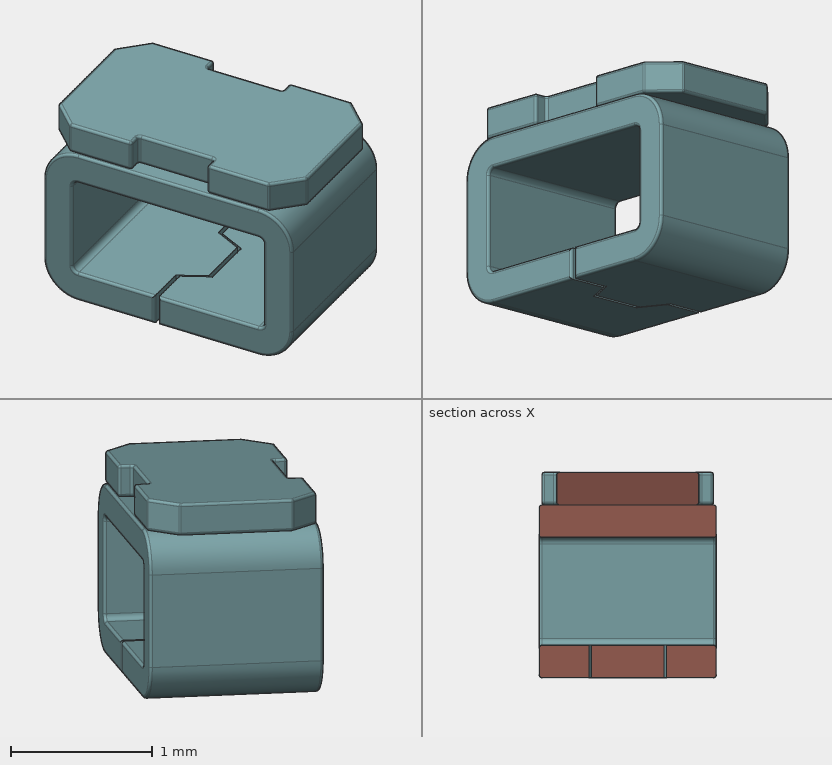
import cadquery as cq

length = 2.0
band_width = 1.25
band_height = 1.22
stock_thickness = 0.23
edge_radius = 0.02

inner_bend_radius = 0.045
outer_bend_radius = inner_bend_radius + stock_thickness

seam_gap = 0.03
tongue_length = 0.208
tongue_root_width = band_width / 2
tongue_tip_width = band_width / 3
seam_center_x = 0.01

plate_width = 1.212
corner_chamfer = 0.2
notch_length = 0.608
notch_depth = 0.105


def seam_cutter():
    """Slit that runs along Y and steps around a trapezoidal tongue."""
    root_x = seam_center_x - tongue_length / 2
    tip_x = seam_center_x + tongue_length / 2
    left_side = [
        (root_x, -band_width / 2),
        (root_x, -tongue_root_width / 2),
        (tip_x, -tongue_tip_width / 2),
        (tip_x, tongue_tip_width / 2),
        (root_x, tongue_root_width / 2),
        (root_x, band_width / 2),
    ]
    right_side = [(x + seam_gap, y) for x, y in reversed(left_side)]
    slit = cq.Workplane("XY").polyline(left_side + right_side).close()
    return slit.extrude(stock_thickness).translate((-seam_gap / 2, 0, 0))


def make_band():
    """Rectangular band standing on Z = 0, open along Y, split by the seam in its floor."""
    band = (
        cq.Workplane("XY")
        .box(length, band_width, band_height)
        .edges("|Y")
        .fillet(outer_bend_radius)
    )
    opening = (
        cq.Workplane("XY")
        .box(length - 2 * stock_thickness, band_width, band_height - 2 * stock_thickness)
        .edges("|Y")
        .fillet(inner_bend_radius)
    )
    band = band.cut(opening).translate((0, 0, band_height / 2))
    band = band.cut(seam_cutter())
    return band.faces("<Y or >Y").edges().fillet(edge_radius)


def make_plate():
    """Flat plate with chamfered corners and a notch in the middle of each long side."""
    plate = (
        cq.Workplane("XY")
        .box(length, plate_width, stock_thickness)
        .edges("|Z")
        .chamfer(corner_chamfer)
    )
    for side in (-1, 1):
        notch = cq.Workplane("XY").box(notch_length, 2 * notch_depth, stock_thickness)
        plate = plate.cut(notch.translate((0, side * plate_width / 2, 0)))
    plate = plate.edges("|Z").fillet(edge_radius)
    plate = plate.faces("<Z or >Z").edges().fillet(edge_radius)
    return plate.translate((0, 0, band_height + stock_thickness / 2))


band = make_band()
plate = make_plate()

result = cq.Compound.makeCompound([band.val(), plate.val()])